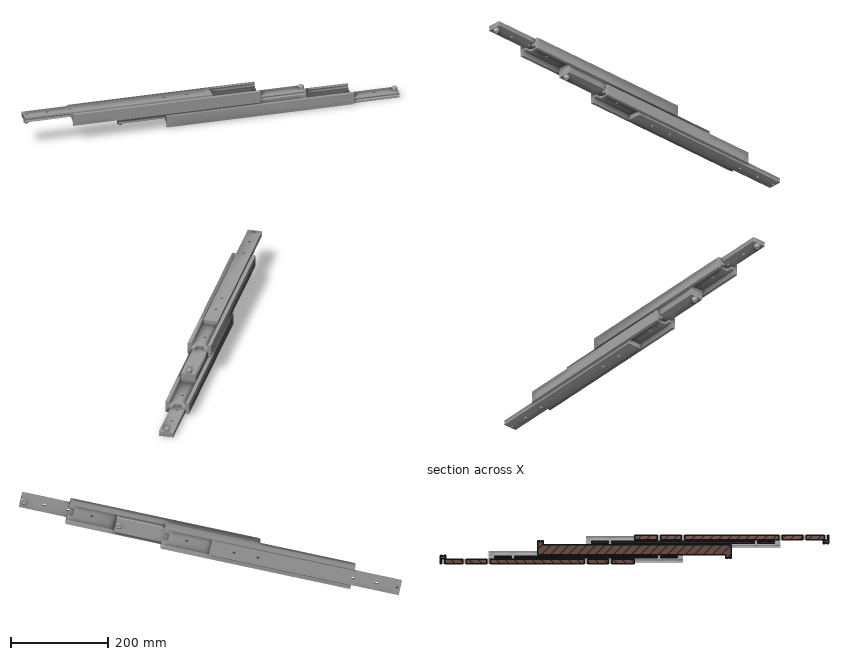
import cadquery as cq

member_length = 400.0
total_length = 800.0
stroke_step = total_length / 8
overall_height = 60.0

rail_half_width = 15.0
rail_thickness = 10.0
groove_radius = 3.0
groove_inset = 6.0
groove_x = 17.0

channel_half_width = 25.0
channel_height = 25.0
channel_mid_z = 15.0
web_thickness = 5.0
land_half_width = 18.0

hole_radius = 3.0
hole_pitch = stroke_step / 2
outer_hole_steps = (1, 2)
channel_hole_steps = (1,)

stud_radius = 6.0
stud_height = 8.0
stud_bevel = 2.0
stud_end_distance = 6.0
recess_radius = 3.0
recess_depth = 2.0

notch_half_width = 9.0
notch_depth = 12.0
notch_corner = 2.0

retainer_radius = 2.0
retainer_end_distance = 10.0

outer_rail_top = overall_height / 2
upper_groove_z = outer_rail_top - groove_inset
lower_groove_z = 2 * channel_mid_z - upper_groove_z
outer_rail_bottom = outer_rail_top - rail_thickness
rail_clearance = outer_rail_bottom - channel_mid_z
centre_rail_top = channel_mid_z - rail_clearance
half_length = member_length / 2

web_bottom = channel_mid_z - web_thickness / 2
web_top = channel_mid_z + web_thickness / 2

outer_rail_y = -2 * stroke_step
channel_y = -stroke_step


def bar(half_width, bottom, top, middle_y):
    """Rectangular bar along Y, one member long."""
    return cq.Workplane("XY").box(
        2 * half_width, member_length, top - bottom
    ).translate((0, middle_y, (bottom + top) / 2))


def cylinder_z(radius, y, bottom, top):
    return cq.Workplane("XY", origin=(0, y, bottom)).circle(radius).extrude(top - bottom)


def ball_paths(heights, middle_y):
    """Round rods on both sides, one pair at each height, that form the ball grooves."""
    points = [(side * groove_x, z) for z in heights for side in (-1, 1)]
    return (
        cq.Workplane("XZ", origin=(0, middle_y + half_length, 0))
        .pushPoints(points)
        .circle(groove_radius)
        .extrude(member_length)
    )


def hole_places(steps, middle_y):
    """Y places of holes that lie symmetrically about the middle of a member."""
    return [
        middle_y + side * (half_length - step * hole_pitch)
        for step in steps
        for side in (-1, 1)
    ]


def add_downward_stop(rail, end_y, rail_bottom):
    """Stud under a rail near its -Y end, revolved about the stud's own vertical axis."""
    stud = (
        cq.Workplane("XZ", origin=(0, end_y + stud_end_distance, rail_bottom))
        .polyline(
            [
                (0, 0),
                (stud_radius, 0),
                (stud_radius, stud_bevel - stud_height),
                (stud_radius - stud_bevel, -stud_height),
                (recess_radius, -stud_height),
                (0, recess_depth - stud_height),
            ]
        )
        .close()
        .revolve(360, (0, 0, 0), (0, 1, 0))
    )
    return rail.union(stud)


def turned_over(body):
    """Counterpart of a body, half a turn about the X axis."""
    return body.rotate((0, 0, 0), (1, 0, 0), 180)


def make_outer_rail():
    rail = bar(rail_half_width, outer_rail_bottom, outer_rail_top, outer_rail_y)
    rail = rail.cut(ball_paths([upper_groove_z], outer_rail_y))
    for y in hole_places(outer_hole_steps, outer_rail_y):
        rail = rail.cut(cylinder_z(hole_radius, y, outer_rail_bottom, outer_rail_top))
    end_y = outer_rail_y - half_length
    pilot_y = end_y + stud_end_distance
    rail = rail.cut(cylinder_z(hole_radius, pilot_y, outer_rail_bottom, outer_rail_top))
    return add_downward_stop(rail, end_y, outer_rail_bottom)


def stop_notch(side):
    """Notch with bevelled corners in one end of the web; side is -1 or 1 along Y."""
    end_y = channel_y + side * half_length
    floor_y = end_y - side * notch_depth
    corner_y = floor_y + side * notch_corner
    floor_half_width = notch_half_width - notch_corner
    outline = [
        (-notch_half_width, end_y),
        (-notch_half_width, corner_y),
        (-floor_half_width, floor_y),
        (floor_half_width, floor_y),
        (notch_half_width, corner_y),
        (notch_half_width, end_y),
    ]
    return (
        cq.Workplane("XY", origin=(0, 0, web_bottom))
        .polyline(outline)
        .close()
        .extrude(web_thickness)
    )


def retaining_hole(side, z):
    """Hole along X across both flanges, near one end of the channel."""
    y = channel_y + side * (half_length - retainer_end_distance)
    return (
        cq.Workplane("YZ", origin=(-channel_half_width, 0, 0))
        .center(y, z)
        .circle(retainer_radius)
        .extrude(2 * channel_half_width)
    )


def make_channel():
    bottom = channel_mid_z - channel_height / 2
    top = channel_mid_z + channel_height / 2
    channel = bar(channel_half_width, bottom, top, channel_y)
    channel = channel.cut(bar(land_half_width, bottom, web_bottom, channel_y))
    channel = channel.cut(bar(land_half_width, web_top, top, channel_y))
    channel = channel.cut(ball_paths([lower_groove_z, upper_groove_z], channel_y))
    for y in hole_places(channel_hole_steps, channel_y):
        channel = channel.cut(cylinder_z(hole_radius, y, web_bottom, web_top))
    for side, retainer_z in ((-1, upper_groove_z), (1, lower_groove_z)):
        channel = channel.cut(stop_notch(side))
        channel = channel.cut(retaining_hole(side, retainer_z))
    return channel


def make_centre_rail():
    rail = bar(rail_half_width, -centre_rail_top, centre_rail_top, 0)
    rail = rail.cut(ball_paths([-lower_groove_z, lower_groove_z], 0))
    rail = add_downward_stop(rail, -half_length, -centre_rail_top)
    rail = turned_over(rail)
    return add_downward_stop(rail, -half_length, -centre_rail_top)


outer_rails = [make_outer_rail()]
channels = [make_channel()]
for bodies in (outer_rails, channels):
    bodies.append(turned_over(bodies[0]))
centre_rail = make_centre_rail()

result = cq.Compound.makeCompound(
    [
        *[rail.val() for rail in outer_rails],
        *[channel.val() for channel in channels],
        centre_rail.val(),
    ]
)